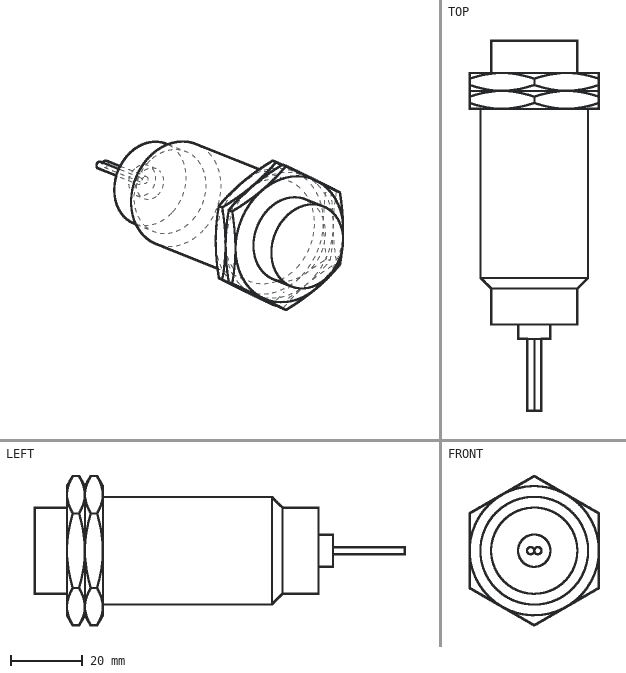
import cadquery as cq
import math

FACE_LENGTH = 9.0
NUT_THICKNESS = 5.0
NUT_COUNT = 2
BARREL_LENGTH = 47.0
TAPER_LENGTH = 3.0
NECK_LENGTH = 10.0
GLAND_LENGTH = 4.0
WIRE_LENGTH = 20.0

FACE_DIAMETER = 24.0
BARREL_DIAMETER = 30.0
NECK_DIAMETER = BARREL_DIAMETER - 2 * TAPER_LENGTH
GLAND_DIAMETER = 9.0
WIRE_DIAMETER = 2.0
WIRE_GAP = 0.02
WIRE_SPACING = WIRE_DIAMETER + WIRE_GAP

HEX_SIDES = 6
HALF_SIDE_ANGLE = 180 / HEX_SIDES
NUT_ACROSS_FLATS = 36.0
NUT_ACROSS_CORNERS = NUT_ACROSS_FLATS / math.cos(math.radians(HALF_SIDE_ANGLE))
NUT_FACE_MARGIN = 0.05
NUT_FACE_DIAMETER = NUT_ACROSS_FLATS - NUT_FACE_MARGIN
NUT_CHAMFER_ANGLE = 30.0

NUT_START = -FACE_LENGTH
NUT_END = NUT_START - NUT_COUNT * NUT_THICKNESS
TAPER_START = NUT_END - BARREL_LENGTH
NECK_START = TAPER_START - TAPER_LENGTH
GLAND_START = NECK_START - NECK_LENGTH
WIRE_START = GLAND_START - GLAND_LENGTH


def revolve_about_y(profile):
    """Solid of revolution about the Y axis from (radius, y) points."""
    return cq.Workplane("XY").polyline(profile).close().revolve(360, (0, 0, 0), (0, 1, 0))


def make_housing():
    """Stepped round body: face, barrel, taper, neck and cable gland."""
    return revolve_about_y([
        (0, 0),
        (FACE_DIAMETER / 2, 0),
        (FACE_DIAMETER / 2, NUT_START),
        (BARREL_DIAMETER / 2, NUT_START),
        (BARREL_DIAMETER / 2, TAPER_START),
        (NECK_DIAMETER / 2, NECK_START),
        (NECK_DIAMETER / 2, GLAND_START),
        (GLAND_DIAMETER / 2, GLAND_START),
        (GLAND_DIAMETER / 2, WIRE_START),
        (0, WIRE_START),
    ])


def make_nut(start):
    """Hexagon nut from Y = start toward -Y, corners up and down, chamfered on both faces."""
    end = start - NUT_THICKNESS
    hexagon = (
        cq.Workplane("XZ", origin=(0, start, 0))
        .polygon(HEX_SIDES, NUT_ACROSS_CORNERS)
        .extrude(NUT_THICKNESS)
        .rotate((0, 0, 0), (0, 1, 0), HALF_SIDE_ANGLE)
    )
    middle = (start + end) / 2
    face_radius = NUT_FACE_DIAMETER / 2
    rim_radius = face_radius + NUT_THICKNESS / 2 / math.tan(math.radians(NUT_CHAMFER_ANGLE))
    chamfer_envelope = revolve_about_y([
        (0, start),
        (face_radius, start),
        (rim_radius, middle),
        (face_radius, end),
        (0, end),
    ])
    return hexagon.intersect(chamfer_envelope)


def make_wire(x_position):
    """One straight wire along Y, rooted inside the gland."""
    return (
        cq.Workplane("XZ", origin=(x_position, GLAND_START, 0))
        .circle(WIRE_DIAMETER / 2)
        .extrude(GLAND_LENGTH + WIRE_LENGTH)
    )


result = make_housing()
for nut_index in range(NUT_COUNT):
    result = result.union(make_nut(NUT_START - nut_index * NUT_THICKNESS))
for side in (-1, 1):
    result = result.union(make_wire(side * WIRE_SPACING / 2))